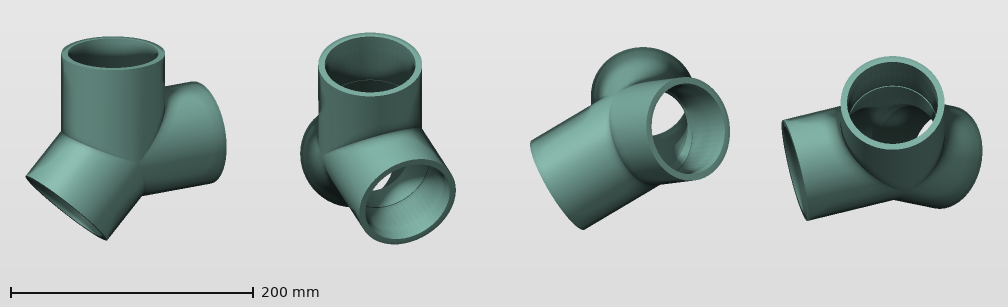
import cadquery as cq
import math

overall_length = 157.8
outer_diameter = 85.7
socket_diameter = 75.0
socket_depth = 45.0
bore_diameter = 73.5
straight_length = 83.2
branch_angle = 45.0

branch_reach = overall_length - straight_length
branch_length = branch_reach / math.cos(math.radians(branch_angle)) - outer_diameter / 2

branch_direction = cq.Vector(
    0,
    -math.cos(math.radians(branch_angle)),
    -math.sin(math.radians(branch_angle)),
)
legs = [
    (cq.Vector(0, 0, 1), straight_length),
    (cq.Vector(0, 1, 0), straight_length),
    (branch_direction, branch_length),
]


def leg_cylinder(direction, start, end, diameter):
    """Cylinder along a leg axis, between two distances from the junction centre."""
    base = direction * start
    return cq.Workplane(cq.Solid.makeCylinder(diameter / 2, end - start, base, direction))


def join_legs(diameter):
    """Cylinders of one diameter along all three legs, meeting in mitres at the centre."""
    joined = cq.Workplane()
    for direction, length in legs:
        joined = joined.add(leg_cylinder(direction, 0, length, diameter))
    return joined.combine()


result = join_legs(outer_diameter).cut(join_legs(bore_diameter))

for leg_direction, leg_length in legs:
    socket = leg_cylinder(leg_direction, leg_length - socket_depth, leg_length, socket_diameter)
    result = result.cut(socket)